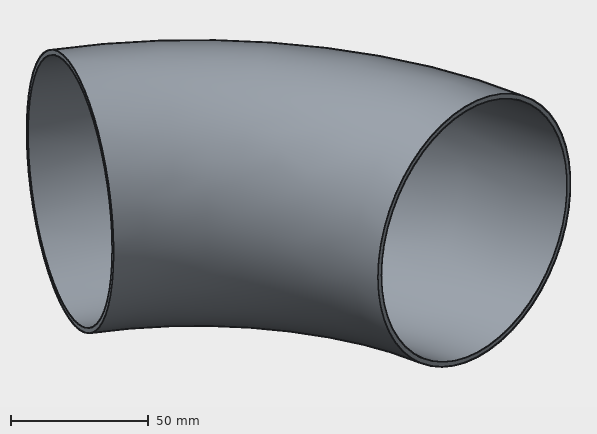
import cadquery as cq
import math

overall_length = 175.0
outer_diameter = 104.0
wall_thickness = 2.0
bend_angle = 60.0

outer_radius = outer_diameter / 2
inner_radius = outer_radius - wall_thickness

outside_bend_radius = overall_length / math.sin(math.radians(bend_angle))
bend_radius = outside_bend_radius - outer_radius

result = (
    cq.Workplane("XZ")
    .circle(outer_radius)
    .circle(inner_radius)
    .revolve(bend_angle, (bend_radius, 0), (bend_radius, -1))
)